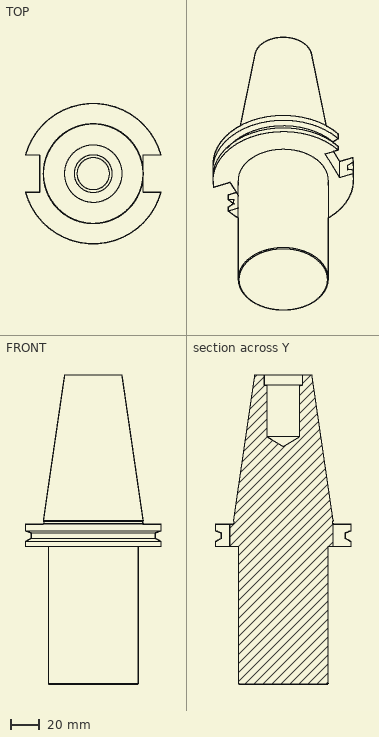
import cadquery as cq
import math

total_height = 216.5

shank_radius = 63.0 / 2
shank_chamfer = 0.6

flange_radius = 98.3 / 2
flange_bottom = 96.4
flange_thickness = 15.8
flange_top = flange_bottom + flange_thickness
groove_depth = 4.0
groove_root_radius = flange_radius - groove_depth
lower_lip_thickness = 3.7
upper_lip_thickness = 4.8
groove_lower_rise = 2.2
groove_upper_rise = 1.5

taper_length = 102.0
taper_ratio = 7 / 24
taper_large_radius = 70.0 / 2
taper_small_radius = taper_large_radius - taper_length * taper_ratio / 2
taper_bottom = total_height - taper_length
relief_radius = 69.3 / 2
relief_height = 1.3
relief_chamfer = 0.6
collar_top = taper_bottom - relief_chamfer - relief_height

slot_width = 25.8
left_slot_floor = 37.5
right_slot_floor = 34.9

counterbore_radius = 26.5 / 2
counterbore_depth = 7.1
bore_radius = 22.5 / 2
bore_depth = 43.3
drill_point_angle = 118.0
drill_point_height = bore_radius / math.tan(math.radians(drill_point_angle / 2))


def make_body():
    """Revolve the outside: shank, grooved flange, collar, relief and taper."""
    groove_bottom = flange_bottom + lower_lip_thickness
    groove_top = flange_top - upper_lip_thickness
    profile = [
        (0, 0),
        (shank_radius - shank_chamfer, 0),
        (shank_radius, shank_chamfer),
        (shank_radius, flange_bottom),
        (flange_radius, flange_bottom),
        (flange_radius, groove_bottom),
        (groove_root_radius, groove_bottom + groove_lower_rise),
        (groove_root_radius, groove_top - groove_upper_rise),
        (flange_radius, groove_top),
        (flange_radius, flange_top),
        (taper_large_radius, flange_top),
        (taper_large_radius, collar_top),
        (relief_radius, collar_top),
        (relief_radius, collar_top + relief_height),
        (taper_large_radius, taper_bottom),
        (taper_small_radius, total_height),
        (0, total_height),
    ]
    return cq.Workplane("XZ").polyline(profile).close().revolve(360, (0, 0, 0), (0, 1, 0))


def make_bore():
    """Revolve the counterbore, bore and conical drill point."""
    step = total_height - counterbore_depth
    bore_end = total_height - bore_depth
    profile = [
        (0, total_height),
        (counterbore_radius, total_height),
        (counterbore_radius, step),
        (bore_radius, step),
        (bore_radius, bore_end),
        (0, bore_end - drill_point_height),
    ]
    return cq.Workplane("XZ").polyline(profile).close().revolve(360, (0, 0, 0), (0, 1, 0))


def make_slot(side, floor):
    """Box through the flange height, from the slot floor outward; side is -1 or +1."""
    return (
        cq.Workplane("XY", origin=(side * (floor + flange_radius / 2), 0, flange_bottom))
        .rect(flange_radius, slot_width)
        .extrude(flange_thickness)
    )


result = make_body().cut(make_bore())
for side, floor in ((-1, left_slot_floor), (1, right_slot_floor)):
    result = result.cut(make_slot(side, floor))